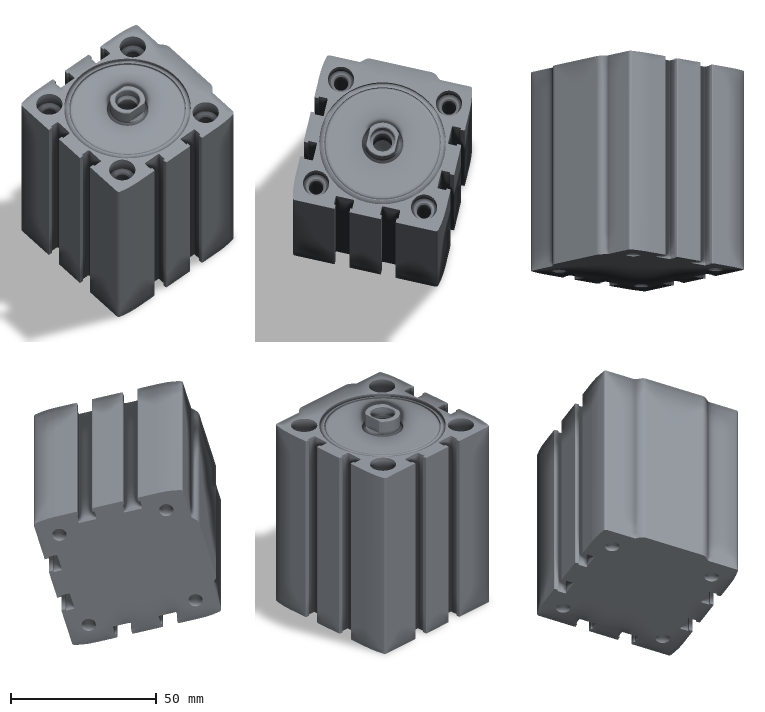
import cadquery as cq
import math


total_height = 74.5
rod_projection = 5.0
body_height = total_height - rod_projection
half_width = 53.0 / 2
back_reach = 55.0 - half_width

side_flat_half = 18.5
side_arc_radius = 31.65
corner_fillet = 1.0
crest_half_width = 11.8
crest_slope_angle = 42.0
crest_fillet = 3.0
crest_foot_fillet = 1.1

slot_offset = 8.1
slot_mouth_width = 5.2
slot_pocket_width = 6.5
slot_lip = 1.5
slot_depth = 4.6
slot_pocket_fillet = 0.4
slot_mouth_fillet = 0.4

hole_offset = 19.0
counterbore_diameter = 9.0
counterbore_depth = 5.0
hole_diameter = 4.9
hole_chamfer_diameter = 5.95
hole_chamfer_depth = 0.5

cover_recess = 0.4
cover_flat_diameter = 37.85
cover_shoulder_diameter = 38.9
cover_upper_drop = 0.15
cover_lower_drop = 0.5
ring_inner_diameter = 40.0
ring_crest_diameter = 40.5
ring_recess = 0.3
ring_slope_drop = 0.9
groove_diameter = 43.4

opening_diameter = 14.1
opening_chamfer = 0.2
lip_drop = 1.1

rod_diameter = 12.0
rod_depth = 29.8
rod_chamfer = 0.2
flat_half_width = 5.0
flat_height = 4.8
flat_end_angle = 30.0
rod_entry_diameter = 9.0
rod_counterbore_diameter = 8.4
rod_counterbore_depth = 3.2
rod_bore_diameter = 6.6
rod_bore_depth = 12.7
rod_step_angle = 90.0
drill_point_angle = 118.0


def cone_drop(large_diameter, small_diameter, included_angle):
    """Height of a cone frustum with the given included angle."""
    return (large_diameter - small_diameter) / 2 / math.tan(math.radians(included_angle / 2))


def revolve_profile(points):
    """Solid of revolution about Z from (radius, height) points."""
    return cq.Workplane("XZ").polyline(points).close().revolve(360, (0, 0), (0, 1))


def fillet_vertical_edges(solid, places, radius):
    """Round the vertical edges that stand at the given (x, y) places."""
    reach = 0.01
    for x, y in places:
        box = cq.selectors.BoxSelector((x - reach, y - reach, -0.75), (x + reach, y + reach, total_height))
        solid = solid.edges(box).fillet(radius)
    return solid


def housing_blank():
    """Extruded outline with bowed side ends and a raised back."""
    run = half_width - side_flat_half
    corner_x = half_width - side_arc_radius + math.sqrt(side_arc_radius**2 - run**2)
    foot_half_width = crest_half_width + (back_reach - half_width) / math.tan(math.radians(crest_slope_angle))
    crest = [(side * crest_half_width, back_reach) for side in (1, -1)]
    feet = [(side * foot_half_width, half_width) for side in (1, -1)]
    corners = [(x, y) for x in (corner_x, -corner_x) for y in (half_width, -half_width)]
    blank = (
        cq.Workplane("XY")
        .moveTo(-corner_x, -half_width)
        .lineTo(corner_x, -half_width)
        .radiusArc((half_width, -side_flat_half), -side_arc_radius)
        .lineTo(half_width, side_flat_half)
        .radiusArc((corner_x, half_width), -side_arc_radius)
        .lineTo(*feet[0])
        .lineTo(*crest[0])
        .lineTo(*crest[1])
        .lineTo(*feet[1])
        .lineTo(-corner_x, half_width)
        .radiusArc((-half_width, side_flat_half), -side_arc_radius)
        .lineTo(-half_width, -side_flat_half)
        .radiusArc((-corner_x, -half_width), -side_arc_radius)
        .close()
        .extrude(body_height)
    )
    blank = fillet_vertical_edges(blank, corners, corner_fillet)
    blank = fillet_vertical_edges(blank, crest, crest_fillet)
    return fillet_vertical_edges(blank, feet, crest_foot_fillet)


def slot_cutter(offset):
    """T-slot that opens through the front (-Y) face at X = offset."""
    pocket_length = slot_depth - slot_lip
    mouth = (
        cq.Workplane("XY")
        .rect(slot_mouth_width, 2 * slot_depth)
        .extrude(body_height)
        .translate((offset, -half_width, 0))
    )
    pocket = (
        cq.Workplane("XY")
        .rect(slot_pocket_width, pocket_length)
        .extrude(body_height)
        .translate((offset, -half_width + slot_lip + pocket_length / 2, 0))
        .edges("|Z and >Y")
        .fillet(slot_pocket_fillet)
    )
    return mouth.union(pocket)


def cut_slots(housing):
    """Two slots on the front and two on each side, with rounded lips on the sides."""
    for turn in (0, 90, -90):
        for offset in (slot_offset, -slot_offset):
            housing = housing.cut(slot_cutter(offset).rotate((0, 0, 0), (0, 0, 1), turn))
    lip_edges = [
        (side * half_width, offset + edge * slot_mouth_width / 2)
        for side in (1, -1)
        for offset in (slot_offset, -slot_offset)
        for edge in (1, -1)
    ]
    return fillet_vertical_edges(housing, lip_edges, slot_mouth_fillet)


def mounting_hole_cutter():
    """Through hole with a countersunk edge at the bottom of its counterbore."""
    seat = body_height - counterbore_depth
    return revolve_profile([
        (0, 0),
        (hole_diameter / 2, 0),
        (hole_diameter / 2, seat - hole_chamfer_depth),
        (hole_chamfer_diameter / 2, seat),
        (counterbore_diameter / 2, seat),
        (counterbore_diameter / 2, body_height),
        (0, body_height),
    ])


def cover_cutter():
    """Space above the recessed cover, its stepped rim and the outward sloping ring around it."""
    cover_top = body_height - cover_recess
    shoulder = cover_top - cover_upper_drop
    rim = shoulder - cover_lower_drop
    ring_top = body_height - ring_recess
    return revolve_profile([
        (0, body_height),
        (0, cover_top),
        (cover_flat_diameter / 2, cover_top),
        (cover_shoulder_diameter / 2, shoulder),
        (ring_inner_diameter / 2, rim),
        (ring_inner_diameter / 2, ring_top),
        (ring_crest_diameter / 2, ring_top),
        (groove_diameter / 2, ring_top - ring_slope_drop),
        (groove_diameter / 2, body_height),
    ])


def rod_opening_cutter():
    """Rod hole with a groove that leaves a sloped wiper lip around the rod."""
    lip_top = body_height - cover_recess
    lip_base = lip_top - lip_drop
    return revolve_profile([
        (0, body_height - rod_depth),
        (rod_diameter / 2, body_height - rod_depth),
        (rod_diameter / 2, lip_top),
        (opening_diameter / 2, lip_base),
        (opening_diameter / 2, lip_top - opening_chamfer),
        (opening_diameter / 2 + opening_chamfer, lip_top),
        (0, lip_top),
    ])


def make_housing():
    housing = cut_slots(housing_blank())
    for x in (hole_offset, -hole_offset):
        for y in (hole_offset, -hole_offset):
            housing = housing.cut(mounting_hole_cutter().translate((x, y, 0)))
    return housing.cut(cover_cutter()).cut(rod_opening_cutter())


def rod_bore_cutter():
    """Stepped blind bore with a drill point."""
    entry_depth = (rod_entry_diameter - rod_counterbore_diameter) / 2
    step_depth = rod_counterbore_depth + cone_drop(rod_counterbore_diameter, rod_bore_diameter, rod_step_angle)
    point_depth = rod_bore_depth + cone_drop(rod_bore_diameter, 0, drill_point_angle)
    return revolve_profile([
        (0, total_height),
        (rod_entry_diameter / 2, total_height),
        (rod_counterbore_diameter / 2, total_height - entry_depth),
        (rod_counterbore_diameter / 2, total_height - rod_counterbore_depth),
        (rod_bore_diameter / 2, total_height - step_depth),
        (rod_bore_diameter / 2, total_height - rod_bore_depth),
        (0, total_height - point_depth),
    ])


def flat_cutter():
    """Wrench flat on the +X side of the rod, with an end that slopes down and outward."""
    flat_end = total_height - flat_height
    outer = rod_diameter
    end_drop = (outer - flat_half_width) * math.tan(math.radians(flat_end_angle))
    return (
        cq.Workplane("XZ")
        .moveTo(flat_half_width, total_height)
        .lineTo(flat_half_width, flat_end)
        .lineTo(outer, flat_end - end_drop)
        .lineTo(outer, total_height)
        .close()
        .extrude(rod_diameter, both=True)
    )


def make_rod():
    rod = (
        cq.Workplane("XY")
        .workplane(offset=body_height - rod_depth)
        .circle(rod_diameter / 2)
        .extrude(rod_depth + rod_projection)
        .faces(">Z")
        .chamfer(rod_chamfer)
    )
    for turn in (0, 180):
        rod = rod.cut(flat_cutter().rotate((0, 0, 0), (0, 0, 1), turn))
    return rod.cut(rod_bore_cutter())


housing = make_housing()
rod = make_rod()

result = cq.Compound.makeCompound([housing.val(), rod.val()])